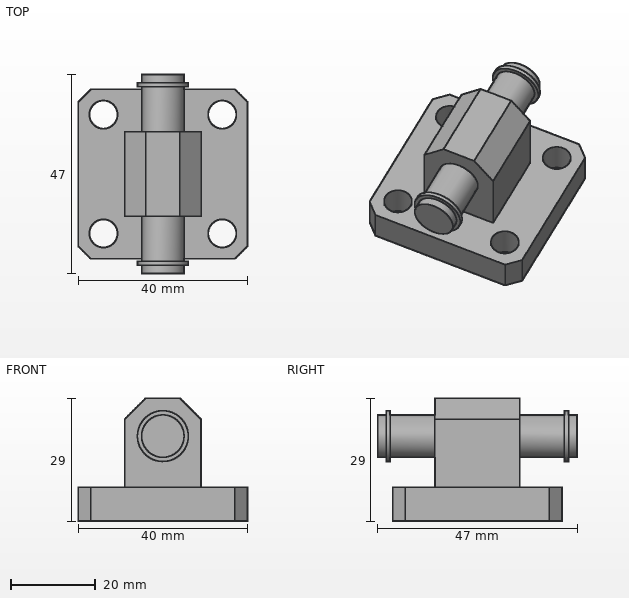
import cadquery as cq

base_side = 40.0
base_height = 8.0
base_corner_chamfer = 3.0
hole_diameter = 6.6
hole_spacing = 28.0

total_height = 29.0
block_width = 18.0
block_length = 20.0
block_chamfer = 5.0

pin_length = 47.0
pin_diameter = 10.0
pin_axis_height = 20.0
ring_diameter = 12.0
ring_thickness = 1.0
ring_end_offset = 1.97


def make_base():
    """Square plate with cut corners and four through holes."""
    plate = cq.Workplane("XY").box(base_side, base_side, base_height, centered=(True, True, False))
    plate = plate.edges("|Z").chamfer(base_corner_chamfer)
    return (
        plate.faces(">Z")
        .workplane()
        .rect(hole_spacing, hole_spacing, forConstruction=True)
        .vertices()
        .hole(hole_diameter)
    )


def make_block():
    """Block standing on the plate, with its long top edges chamfered."""
    block = cq.Workplane("XY").workplane(offset=base_height).box(
        block_width, block_length, total_height - base_height, centered=(True, True, False)
    )
    return block.faces(">Z").edges("|Y").chamfer(block_chamfer)


def cylinder_along_y(diameter, length, center_y):
    """Cylinder on the pin axis, centred at center_y."""
    return (
        cq.Workplane("XZ", origin=(0, center_y + length / 2, pin_axis_height))
        .circle(diameter / 2)
        .extrude(length)
    )


result = make_base().union(make_block()).union(cylinder_along_y(pin_diameter, pin_length, 0))

ring_center_y = pin_length / 2 - ring_end_offset - ring_thickness / 2
for side in (-1, 1):
    result = result.union(cylinder_along_y(ring_diameter, ring_thickness, side * ring_center_y))